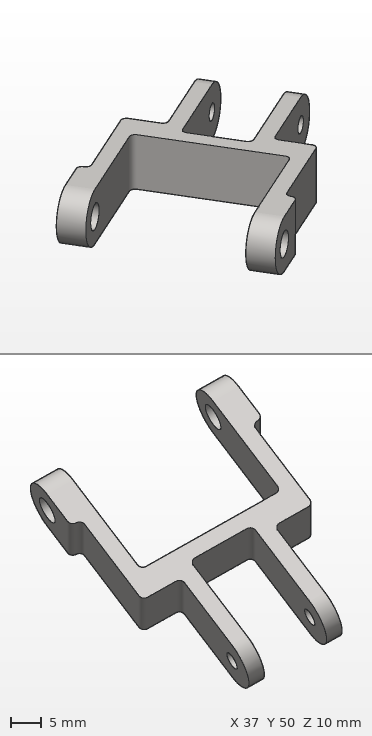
import cadquery as cq

height = 10.0
length = 50.0
wall = 3.0
wide_gap = 27.0
narrow_gap = 12.0
pad_thickness = 2.0
pad_length = 12.0
wide_gap_depth = 25.0
shoulder_drop = 20.0
wide_hole_diameter = 4.6
narrow_hole_diameter = 3.0
corner_radius = 1.0

end_radius = height / 2
front_y = -length / 2
rear_y = length / 2
pad_y = front_y + pad_length
bridge_front_y = front_y + wide_gap_depth
bridge_rear_y = bridge_front_y + wall
shoulder_y = rear_y - shoulder_drop
wide_inner_x = wide_gap / 2
wide_outer_x = wide_inner_x + wall
pad_x = wide_outer_x + pad_thickness
narrow_inner_x = narrow_gap / 2
narrow_outer_x = narrow_inner_x + wall
total_width = 2 * pad_x
step_radius = pad_thickness / 2


def half_plan():
    """Right half of the double fork, extruded to full height.

    The step up to the pad is an S of two tangent quarter arcs; every other
    corner between the bridge and the arm tips is filleted.
    """
    step_mid_x = wide_outer_x + step_radius
    outline = (
        cq.Workplane("XY", origin=(0, 0, -height / 2))
        .moveTo(0, bridge_rear_y)
        .lineTo(narrow_inner_x, bridge_rear_y)
        .lineTo(narrow_inner_x, rear_y)
        .lineTo(narrow_outer_x, rear_y)
        .lineTo(narrow_outer_x, shoulder_y)
        .lineTo(wide_outer_x, shoulder_y)
        .lineTo(wide_outer_x, pad_y + step_radius)
        .tangentArcPoint((step_mid_x, pad_y), relative=False)
        .tangentArcPoint((pad_x, pad_y - step_radius), relative=False)
        .lineTo(pad_x, front_y)
        .lineTo(wide_inner_x, front_y)
        .lineTo(wide_inner_x, bridge_front_y)
        .lineTo(0, bridge_front_y)
        .close()
    )
    bridge_corners = cq.selectors.BoxSelector(
        (narrow_inner_x / 2, bridge_front_y - wall, -height),
        (pad_x, shoulder_y + wall, height),
    )
    return outline.extrude(height).edges("|Z").edges(bridge_corners).fillet(corner_radius)


def double_fork():
    """Both halves joined on the YZ plane."""
    right_half = half_plan()
    return right_half.union(right_half.mirror("YZ")).clean()


def rounded_side_profile():
    """Side profile with full-round ends, running across the whole width."""
    return cq.Workplane("YZ").slot2D(length, height).extrude(total_width / 2, both=True)


def cross_hole(y, diameter):
    """Cylinder along X that pierces both arms of a fork."""
    return cq.Workplane("YZ").center(y, 0).circle(diameter / 2).extrude(total_width / 2, both=True)


result = (
    double_fork()
    .intersect(rounded_side_profile())
    .cut(cross_hole(front_y + end_radius, wide_hole_diameter))
    .cut(cross_hole(rear_y - end_radius, narrow_hole_diameter))
)